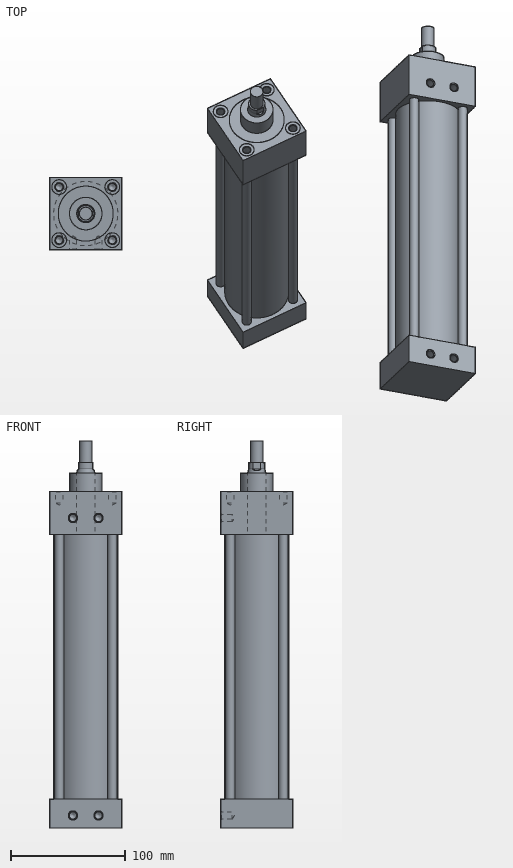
import cadquery as cq
import math

total_height = 339.7
block_width = 63.5
cap_height = 25.5
head_height = 38.0
head_top = 295.5
head_bottom = head_top - head_height
boss_height = 16.0
boss_top = head_top + boss_height

barrel_diameter = 56.5
boss_diameter = 28.5
retainer_diameter = 48.2
seat_depth = 0.5

tie_rod_diameter = 8.0
tie_rod_spacing = 46.5
tie_rod_offset = tie_rod_spacing / 2
tie_rod_places = [(x * tie_rod_offset, y * tie_rod_offset) for x in (-1, 1) for y in (-1, 1)]
nut_seat_diameter = 13.0
socket_diameter = 6.5
socket_depth = 10.2

port_diameter = 6.5
port_spacing = 22.5
port_depth = 10.2
cap_port_height = 11.2
head_port_height = 272.0

drill_point_angle = 118
hole_chamfer = 0.85

rod_diameter = 16.0
collar_diameter = 14.3
flat_spacing = 12.5
stud_diameter = 11.2
stud_length = 19.0
collar_length = 5.0
flat_length = 5.8
runout_size = 2.0
stud_bottom = total_height - stud_length
collar_bottom = stud_bottom - collar_length


def block(bottom, height):
    """Square end block standing on the given level."""
    return (
        cq.Workplane("XY", origin=(0, 0, bottom))
        .rect(block_width, block_width)
        .extrude(height)
    )


def cylinder(diameter, bottom, top):
    """Cylinder on the Z axis between two levels."""
    return cq.Workplane("XY", origin=(0, 0, bottom)).circle(diameter / 2).extrude(top - bottom)


def drilled_hole(diameter, depth):
    """Cutter for a blind hole at the origin, chamfered at its mouth, running along -Z to a drill point."""
    radius = diameter / 2
    point_length = radius / math.tan(math.radians(drill_point_angle / 2))
    outline = [
        (0, 0),
        (radius + hole_chamfer, 0),
        (radius, -hole_chamfer),
        (radius, -depth),
        (0, -depth - point_length),
    ]
    return (
        cq.Workplane("XZ")
        .polyline(outline)
        .close()
        .revolve(360, (0, 0, 0), (0, 1, 0))
    )


def make_housing():
    """Cap, barrel, tie rods, head and boss as one solid."""
    tie_rods = (
        cq.Workplane("XY", origin=(0, 0, cap_height))
        .pushPoints(tie_rod_places)
        .circle(tie_rod_diameter / 2)
        .extrude(head_bottom - cap_height)
    )
    housing = (
        block(0, cap_height)
        .union(cylinder(barrel_diameter, cap_height, head_bottom))
        .union(tie_rods)
        .union(block(head_bottom, head_height))
    )

    seat_floor = head_top - seat_depth
    housing = housing.cut(cylinder(retainer_diameter, seat_floor, head_top))
    housing = housing.union(cylinder(boss_diameter, seat_floor, boss_top))

    nut_seat = cylinder(nut_seat_diameter, seat_floor, head_top)
    socket = drilled_hole(socket_diameter, socket_depth)
    for x, y in tie_rod_places:
        housing = housing.cut(nut_seat.translate((x, y, 0)))
        housing = housing.cut(socket.translate((x, y, head_top)))

    port = drilled_hole(port_diameter, port_depth).rotate((0, 0, 0), (1, 0, 0), 90)
    for x in (-port_spacing / 2, port_spacing / 2):
        for z in (cap_port_height, head_port_height):
            housing = housing.cut(port.translate((x, -block_width / 2, z)))

    return housing.cut(cylinder(rod_diameter, head_bottom, boss_top))


def make_piston_rod():
    """Rod with a tapered shoulder, a collar with two wrench flats and a stud."""
    rod = cylinder(rod_diameter, head_bottom, boss_top)
    shoulder = (
        cq.Workplane("XY", origin=(0, 0, boss_top))
        .circle(rod_diameter / 2)
        .workplane(offset=collar_bottom - boss_top)
        .circle(collar_diameter / 2)
        .loft()
    )
    rod = rod.union(shoulder).union(cylinder(collar_diameter, collar_bottom, stud_bottom))

    inner_x = flat_spacing / 2
    flat_bottom = stud_bottom - flat_length
    outline = [
        (inner_x, stud_bottom),
        (inner_x, flat_bottom),
        (inner_x + runout_size, flat_bottom - runout_size),
        (inner_x + runout_size, stud_bottom),
    ]
    flat_cutter = cq.Workplane("XZ").polyline(outline).close().extrude(rod_diameter / 2, both=True)
    rod = rod.cut(flat_cutter).cut(flat_cutter.mirror("YZ"))

    return rod.union(cylinder(stud_diameter, stud_bottom, total_height))


housing = make_housing()
piston_rod = make_piston_rod()
result = cq.Compound.makeCompound([housing.val(), piston_rod.val()])